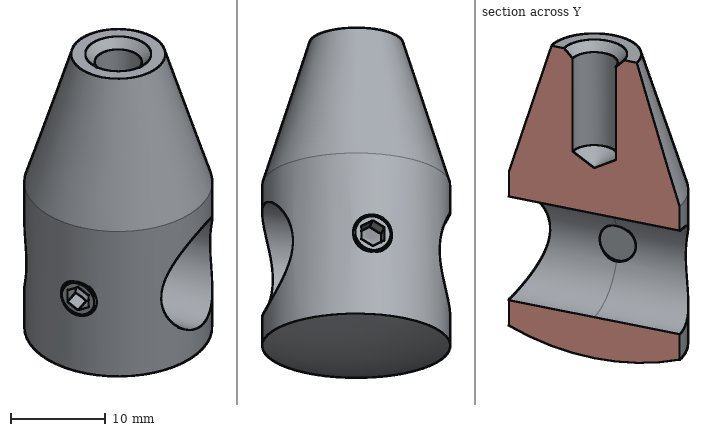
import cadquery as cq
import math

total_height = 36.0
body_diameter = 20.0
nose_diameter = 10.0
nose_height = 16.0
dome_height = 1.85
body_radius = body_diameter / 2
nose_radius = nose_diameter / 2
shoulder_z = total_height - nose_height
dome_radius = (body_radius**2 + dome_height**2) / (2 * dome_height)

drill_point_angle = 120.0
bore_diameter = 5.0
bore_depth = 12.0
countersink_diameter = 7.0
countersink_depth = (countersink_diameter - bore_diameter) / 2

cross_hole_diameter = 12.2
cross_hole_depth = 25.0
cross_hole_z = total_height - cross_hole_depth

screw_diameter = 4.2
screw_length = 4.0
screw_chamfer = 0.2
socket_across_flats = 2.5
socket_depth = 2.0
screw_face_y = -body_radius
socket_across_corners = socket_across_flats / math.cos(math.pi / 6)


def drill_point_height(radius):
    return radius / math.tan(math.radians(drill_point_angle / 2))


def screw_plane():
    """Plane on the screw's outer end: local X is +Z, the normal points inward along +Y."""
    return cq.Plane(origin=(0, screw_face_y, cross_hole_z), xDir=(0, 0, 1), normal=(0, 1, 0))


def make_blank():
    dome_mid_x = body_radius / 2
    dome_mid_z = dome_radius - math.sqrt(dome_radius**2 - dome_mid_x**2)
    return (
        cq.Workplane("XZ")
        .moveTo(0, 0)
        .threePointArc((dome_mid_x, dome_mid_z), (body_radius, dome_height))
        .lineTo(body_radius, shoulder_z)
        .lineTo(nose_radius, total_height)
        .lineTo(0, total_height)
        .close()
        .revolve(360, (0, 0, 0), (0, 1, 0))
    )


def make_bore():
    """Countersunk bore with a conical drill point at the bottom."""
    bore_radius = bore_diameter / 2
    bore_floor_z = total_height - bore_depth
    return (
        cq.Workplane("XZ")
        .moveTo(0, total_height)
        .lineTo(countersink_diameter / 2, total_height)
        .lineTo(bore_radius, total_height - countersink_depth)
        .lineTo(bore_radius, bore_floor_z)
        .lineTo(0, bore_floor_z - drill_point_height(bore_radius))
        .close()
        .revolve(360, (0, 0, 0), (0, 1, 0))
    )


def make_cross_hole():
    return (
        cq.Workplane("YZ")
        .center(0, cross_hole_z)
        .circle(cross_hole_diameter / 2)
        .extrude(body_radius, both=True)
    )


def make_screw_hole():
    """Hole from the housing's side to the middle of the cross hole."""
    return cq.Workplane(screw_plane()).circle(screw_diameter / 2).extrude(body_radius)


def make_housing():
    return make_blank().cut(make_bore()).cut(make_cross_hole()).cut(make_screw_hole())


def make_socket():
    """Hexagon socket with corners up and down, ending in a cone clipped to the hexagon."""
    corner_radius = socket_across_corners / 2
    point_height = drill_point_height(corner_radius)
    hexagon = (
        cq.Workplane(screw_plane())
        .polygon(6, socket_across_corners)
        .extrude(socket_depth + point_height)
    )
    drilled_end = cq.Workplane(screw_plane()).circle(corner_radius).extrude(socket_depth)
    point = cq.Solid.makeCone(
        corner_radius,
        0,
        point_height,
        pnt=cq.Vector(0, screw_face_y + socket_depth, cross_hole_z),
        dir=cq.Vector(0, 1, 0),
    )
    return hexagon.intersect(drilled_end.union(cq.Workplane(point)))


def make_set_screw():
    shank = (
        cq.Workplane(screw_plane())
        .circle(screw_diameter / 2)
        .extrude(screw_length)
        .faces("<Y")
        .chamfer(screw_chamfer)
    )
    return shank.cut(make_socket())


housing = make_housing()
set_screw = make_set_screw()

result = cq.Compound.makeCompound([housing.val(), set_screw.val()])